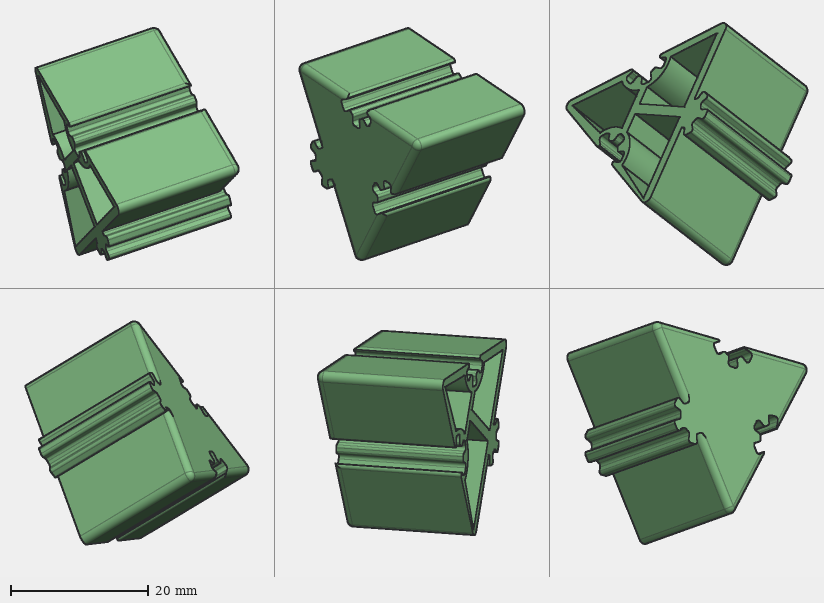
import cadquery as cq
import math

LENGTH = 19.5
WIDTH = 30.05
CORNER_RADIUS = 1.0
SIDE = WIDTH + 2 * CORNER_RADIUS * (math.sqrt(3) - 1)
HEIGHT = SIDE * math.sqrt(3) / 2
GEAR_SIDE_ANGLE = 60
SIDE_TURN = 120

TEETH = 6
PITCH_ANGLE = 360 / TEETH
TIP_DISTANCE = 3.88
ROOT_DISTANCE = 2.37
TIP_HALF_WIDTH = 0.9
ROOT_HALF_WIDTH = 0.65
TIP_RADIUS = 0.42
VALLEY_RADIUS = 0.5

CLEARANCE = 0.105
LIP_RADIUS = 0.5
SOCKET_WALL_RADIUS = 4.8

WALL = 1.4
POCKET_DEPTH = LENGTH - WALL
CROSS_WEB_NEAR = 11.08
CROSS_WEB_FAR = 12.53
MIDDLE_WEB_TOP = 0.93
MIDDLE_WEB_BOTTOM = -0.72
LEFT_POCKET_CORNER = (-13.88, -1.17)
LEFT_POCKET_TOP_ANGLE = 196.7
LEFT_POCKET_SIDE_ANGLE = 100.0
LOWER_POCKET_ANGLE = -46.2
LOWER_POCKET_END = -14.35

TOP_SOCKET = (0.0, 0.0)
LEFT_SOCKET = (-SIDE / 4, -HEIGHT / 2)
GEAR_CENTRE = (SIDE / 4, -HEIGHT / 2)


def polar(centre, distance, degrees):
    angle = math.radians(degrees)
    return (centre[0] + distance * math.cos(angle), centre[1] + distance * math.sin(angle))


def from_gear_side(inward, along):
    """Point at a distance inward from the gear side and up along it from the gear centre."""
    return polar(polar(GEAR_CENTRE, inward, GEAR_SIDE_ANGLE + 90), along, GEAR_SIDE_ANGLE)


def front_plane(centre=(0.0, 0.0)):
    """Sketch plane on the front face, X right and Z up; negative extrusions run to +Y."""
    return cq.Workplane("XZ", origin=(centre[0], 0, centre[1]))


def place(body, centre, turn=0):
    """Turn a prism counter-clockwise as seen from the front, then move it to its centre."""
    return body.rotate((0, 0, 0), (0, -1, 0), turn).translate((centre[0], 0, centre[1]))


def triangle_block():
    corners = [(-SIDE / 2, 0), (SIDE / 2, 0), (0, -HEIGHT)]
    prism = front_plane().polyline(corners).close().extrude(-LENGTH)
    return prism.edges("|Y").fillet(CORNER_RADIUS).faces(">Y").edges().fillet(CORNER_RADIUS)


def gear(growth=0.0):
    """Gear prism with widening teeth, its whole outline moved outwards by a growth."""
    half_pitch = math.radians(PITCH_ANGLE / 2)
    tip = TIP_DISTANCE + growth
    root = ROOT_DISTANCE + growth
    tip_half = TIP_HALF_WIDTH + growth
    root_half = ROOT_HALF_WIDTH + growth
    flank_start = (root - root_half * math.sin(half_pitch)) / math.cos(half_pitch)
    tooth_corners = [
        (flank_start, -root_half),
        (tip, -tip_half),
        (tip, tip_half),
        (flank_start, root_half),
    ]
    outline = []
    for tooth in range(TEETH):
        direction = (tooth + 0.5) * PITCH_ANGLE
        for along, across in tooth_corners:
            outline.append(polar(polar((0, 0), along, direction), across, direction + 90))
    prism = front_plane().polyline(outline).close().extrude(-LENGTH)

    reach = root / math.cos(half_pitch)
    valley_zone = cq.selectors.BoxSelector((-reach, 0, -reach), (reach, LENGTH, reach))
    along_length = cq.selectors.ParallelDirSelector(cq.Vector(0, 1, 0))
    prism = prism.edges(along_length & valley_zone).fillet(VALLEY_RADIUS - growth)
    return prism.edges(along_length - valley_zone).fillet(TIP_RADIUS + growth)


def socket():
    """Cutter for a socket in the top side: a loose gear, with both lips rounded off."""
    lip_tip = ROOT_DISTANCE + CLEARANCE
    lip_centre = lip_tip + LIP_RADIUS
    opening = front_plane().rect(2 * lip_centre, 2 * LIP_RADIUS).extrude(-LENGTH)
    lips = (
        front_plane()
        .pushPoints([(-lip_centre, -LIP_RADIUS), (lip_centre, -LIP_RADIUS)])
        .circle(LIP_RADIUS)
        .extrude(-LENGTH)
    )
    return gear(CLEARANCE).union(opening.cut(lips))


def pocket(outline):
    """Pocket prism that stops at the round walls of both sockets."""
    body = front_plane().polyline(outline).close().extrude(-POCKET_DEPTH)
    for centre in (TOP_SOCKET, LEFT_SOCKET):
        body = body.cut(front_plane(centre).circle(SOCKET_WALL_RADIUS).extrude(-POCKET_DEPTH))
    return body


def web_ends(inward):
    """Upper and lower ends, inside the two sockets, of a wall parallel to the gear side."""
    reach = SIDE / 4
    return from_gear_side(inward, reach), from_gear_side(inward, -reach)


far_upper, far_lower = web_ends(CROSS_WEB_FAR)
near_upper, near_lower = web_ends(CROSS_WEB_NEAR)

left_pocket = pocket([
    LEFT_POCKET_CORNER,
    polar(TOP_SOCKET, SOCKET_WALL_RADIUS, LEFT_POCKET_TOP_ANGLE),
    far_upper,
    far_lower,
    polar(LEFT_SOCKET, SOCKET_WALL_RADIUS, LEFT_POCKET_SIDE_ANGLE),
])

right_pocket = pocket([
    from_gear_side(CROSS_WEB_NEAR, MIDDLE_WEB_TOP),
    near_upper,
    (0, -WALL),
    (SIDE / 2 - WALL * math.sqrt(3), -WALL),
    from_gear_side(WALL, MIDDLE_WEB_TOP),
])

lower_pocket = pocket([
    from_gear_side(CROSS_WEB_NEAR, MIDDLE_WEB_BOTTOM),
    from_gear_side(WALL, MIDDLE_WEB_BOTTOM),
    from_gear_side(WALL, LOWER_POCKET_END),
    polar(LEFT_SOCKET, SOCKET_WALL_RADIUS, LOWER_POCKET_ANGLE),
    near_lower,
])

result = (
    triangle_block()
    .union(place(gear(), GEAR_CENTRE))
    .cut(place(socket(), TOP_SOCKET))
    .cut(place(socket(), LEFT_SOCKET, SIDE_TURN))
    .cut(left_pocket)
    .cut(right_pocket)
    .cut(lower_pocket)
)